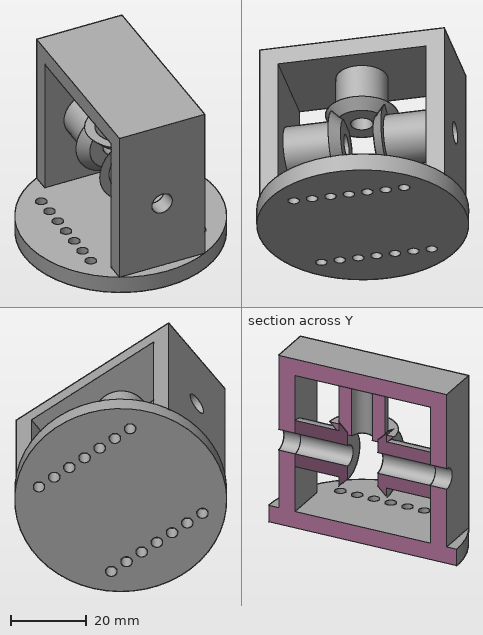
import cadquery as cq
import math

base_diameter = 55.9
total_height = 50.0
wall = 5.0
arch_length = 50.0
arch_width = math.sqrt(base_diameter**2 - arch_length**2)
opening_length = arch_length - 2 * wall
opening_height = total_height - 2 * wall

base_hole_diameter = 3.0
base_hole_pitch = 5.0
holes_per_row = 7
row_offset = 16.05

shaft_bore = 6.0
hub_diameter = 13.8
head_thickness = 2.75
head_diameter = hub_diameter + 2 * head_thickness
axis_height = total_height / 2
side_rim_offset = 7.15
top_rim_offset = 8.9
top_gear_shift = 0.2
side_hub_length = opening_length / 2 - side_rim_offset
top_hub_length = total_height - wall - axis_height - top_rim_offset


def make_frame():
    base = cq.Workplane("XY").circle(base_diameter / 2).extrude(wall)
    base_holes = (
        cq.Workplane("XY")
        .rarray(base_hole_pitch, 2 * row_offset, holes_per_row, 2)
        .circle(base_hole_diameter / 2)
        .extrude(wall)
    )
    arch = cq.Workplane("XY").box(
        arch_length, arch_width, total_height, centered=(True, True, False)
    )
    opening = (
        cq.Workplane("XY", origin=(0, 0, wall))
        .box(opening_length, arch_width, opening_height, centered=(True, True, False))
    )
    shaft_hole = (
        cq.Workplane("YZ", origin=(0, 0, axis_height))
        .circle(shaft_bore / 2)
        .extrude(arch_length / 2, both=True)
    )
    return base.union(arch.cut(opening)).cut(base_holes).cut(shaft_hole)


def make_gear(hub_length):
    """Bored gear on the Z axis, with its hub end at Z = 0 and its head above."""
    profile = [
        (shaft_bore / 2, 0),
        (hub_diameter / 2, 0),
        (hub_diameter / 2, hub_length),
        (head_diameter / 2, hub_length),
        (hub_diameter / 2, hub_length + head_thickness),
        (shaft_bore / 2, hub_length + head_thickness),
    ]
    return cq.Workplane("XZ").polyline(profile).close().revolve(360, (0, 0, 0), (0, 1, 0))


def make_side_gear(side):
    """Gear on the inner face of one leg: side is -1 for -X and +1 for +X."""
    return (
        make_gear(side_hub_length)
        .rotate((0, 0, 0), (0, 1, 0), -90 * side)
        .translate((side * opening_length / 2, 0, axis_height))
    )


def make_top_gear(meshing_gears):
    """Gear hanging from the bridge, recessed where the side gears enter its head."""
    gear = (
        make_gear(top_hub_length)
        .rotate((0, 0, 0), (1, 0, 0), 180)
        .translate((top_gear_shift, 0, total_height - wall))
    )
    for meshing_gear in meshing_gears:
        gear = gear.cut(meshing_gear)
    return gear


frame = make_frame()
side_gears = [make_side_gear(side) for side in (-1, 1)]
top_gear = make_top_gear(side_gears)

result = cq.Compound.makeCompound(
    [body.solids().val() for body in (frame, *side_gears, top_gear)]
)